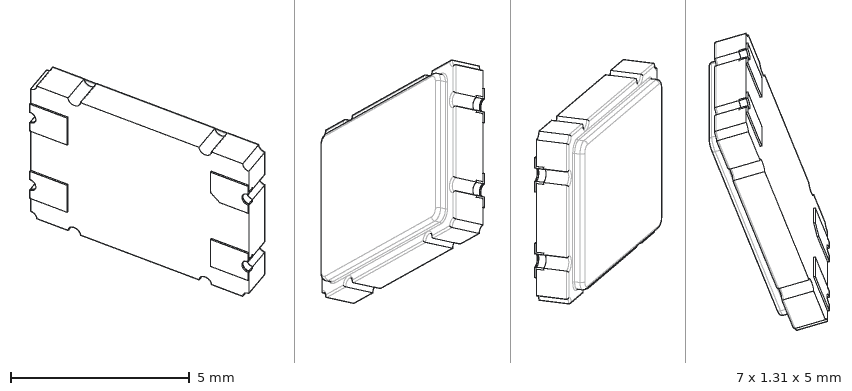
import cadquery as cq


base_length = 7.0
base_width = 5.0
pad_thickness = 0.05
base_top_y = 1.0
base_thickness = base_top_y - pad_thickness
base_edge_radius = 0.055

notch_radius = 0.195
long_side_notch_x = 2.1
short_side_notch_z = 1.27

total_thickness = 1.31
lid_height = total_thickness - base_top_y
lid_end_inset = 0.4
lid_side_inset = 0.3
lid_length = base_length - 2 * lid_end_inset
lid_width = base_width - 2 * lid_side_inset
lid_corner_radius = 0.3
lid_edge_radius = 0.105
lid_root_radius = 0.04

pad_length = 1.205
pad_width = 1.015
sleeve_radius = 0.25
sleeve_bore_radius = 0.19
sleeve_depth = 0.22
sleeve_top_y = pad_thickness + sleeve_depth
pin_one_cut_x = 0.3
pin_one_cut_z = 0.25

half_length = base_length / 2
half_width = base_width / 2
corners = [(x, z) for x in (-half_length, half_length) for z in (-half_width, half_width)]
long_side_notches = [
    (x, z) for x in (-long_side_notch_x, long_side_notch_x) for z in (-half_width, half_width)
]
pad_notches = [
    (x, z) for x in (-half_length, half_length) for z in (-short_side_notch_z, short_side_notch_z)
]
pin_one_notch = (half_length, short_side_notch_z)


def face_plane(y):
    """Workplane at height y whose local axes are X and Z; extrusions grow toward -Y."""
    return cq.Workplane("XZ", origin=(0, y, 0))


def cylinders(centres, radius, bottom_y, top_y):
    """Cylinders along Y between two heights."""
    return face_plane(top_y).pushPoints(centres).circle(radius).extrude(top_y - bottom_y)


def make_housing():
    """Notched base with the lid on top and recesses for the pad sleeves."""
    base = face_plane(base_top_y).rect(base_length, base_width).extrude(base_thickness)
    all_notches = corners + long_side_notches + pad_notches
    base = base.cut(cylinders(all_notches, notch_radius, pad_thickness, base_top_y))
    base = base.faces(">Y").edges().fillet(base_edge_radius)

    lid = face_plane(total_thickness).rect(lid_length, lid_width).extrude(lid_height)
    lid = lid.edges("|Y").fillet(lid_corner_radius)
    lid = lid.faces(">Y").edges().fillet(lid_edge_radius)

    reach_x = lid_length / 2 + lid_root_radius
    reach_z = lid_width / 2 + lid_root_radius
    root_area = cq.selectors.BoxSelector(
        (-reach_x, base_top_y - lid_root_radius, -reach_z),
        (reach_x, base_top_y + lid_root_radius, reach_z),
    )
    housing = base.union(lid).edges(root_area).fillet(lid_root_radius)

    return housing.cut(cylinders(pad_notches, sleeve_radius, pad_thickness, sleeve_top_y))


def inward_direction(notch):
    """Sign of the X direction from a short side toward the middle of the base."""
    return -1 if notch[0] > 0 else 1


def pad_block(notch, top_y, depth):
    """Rectangular block over the pad area at one notch, reaching down from top_y."""
    notch_x, notch_z = notch
    middle_x = notch_x + inward_direction(notch) * pad_length / 2
    return face_plane(top_y).center(middle_x, notch_z).rect(pad_length, pad_width).extrude(depth)


def make_pad(notch):
    """Flat contact and its half-round sleeve, on one notch of a short side."""
    notch_x, notch_z = notch
    inward = inward_direction(notch)
    inner_x = notch_x + inward * pad_length

    pad = pad_block(notch, pad_thickness, pad_thickness)
    if notch == pin_one_notch:
        lower_z = notch_z - pad_width / 2
        corner_cut = (
            face_plane(pad_thickness)
            .moveTo(inner_x, lower_z)
            .lineTo(inner_x - inward * pin_one_cut_x, lower_z)
            .lineTo(inner_x, lower_z + pin_one_cut_z)
            .close()
            .extrude(pad_thickness)
        )
        pad = pad.cut(corner_cut)

    sleeve = cylinders([notch], sleeve_radius, pad_thickness, sleeve_top_y)
    sleeve = sleeve.intersect(pad_block(notch, sleeve_top_y, sleeve_depth))

    pad = pad.cut(cylinders([notch], notch_radius, 0, pad_thickness))
    sleeve = sleeve.cut(cylinders([notch], sleeve_bore_radius, pad_thickness, sleeve_top_y))
    return pad.union(sleeve)


housing = make_housing()
pads = [make_pad(notch) for notch in pad_notches]

result = cq.Compound.makeCompound([housing.val(), *[pad.val() for pad in pads]])